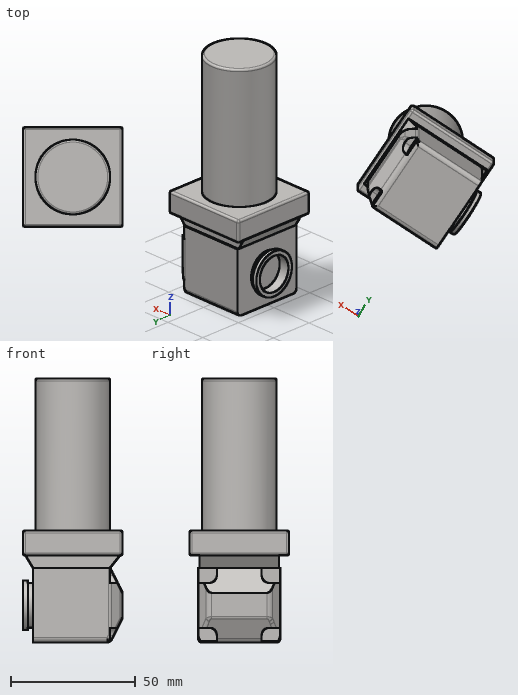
import math

import cadquery as cq

PLATE_SIDE = 40.0
PLATE_BOTTOM = 35.0
PLATE_TOP = 45.0
BARREL_DIAMETER = 30.0
BARREL_TOP = 106.0
EDGE_RADIUS = 1.0

HOUSING_BACK = -16.0
HOUSING_FRONT = 15.0
HOUSING_WIDTH = 33.0
HOUSING_TOP = 30.0
HOUSING_RADIUS = 2.0
FRONT_BOTTOM_RADIUS = 3.0

EDGE_SEARCH_RADIUS = 2.5

NECK_TOP_HALF_LENGTH = PLATE_SIDE / 2 - EDGE_RADIUS
NECK_WIDTH = 32.0

NOSE_TIP = PLATE_SIDE / 2
NOSE_TIP_WIDTH = 25.0
NOSE_SLOPE_HEIGHT = 10.0
TIP_RADIUS = 3.0
CROSS_ARM_WIDTH = 18.0
CROSS_RADIUS = 3.0

PORT_HEIGHT = HOUSING_TOP / 2
FLANGE_DIAMETER = 20.0
FLANGE_FACE = -PLATE_SIDE / 2
FLANGE_THICKNESS = 2.0
PORT_DIAMETER = 18.0
BORE_DIAMETER = 16.0
BORE_DEPTH = 5.0


def make_barrel():
    height = BARREL_TOP - PLATE_TOP
    barrel = cq.Workplane("XY", origin=(0, 0, PLATE_TOP)).circle(BARREL_DIAMETER / 2).extrude(height)
    return barrel.faces(">Z").edges().fillet(EDGE_RADIUS)


def make_plate():
    plate = cq.Workplane("XY", origin=(0, 0, PLATE_BOTTOM)).rect(PLATE_SIDE, PLATE_SIDE)
    return plate.extrude(PLATE_TOP - PLATE_BOTTOM).edges().fillet(EDGE_RADIUS)


def extrude_side_profile(points, width):
    """Extrude an XZ outline symmetrically about the Y = 0 plane."""
    return cq.Workplane("XZ").polyline(points).close().extrude(width / 2, both=True)


def make_neck():
    outline = [
        (HOUSING_BACK, HOUSING_TOP),
        (HOUSING_FRONT, HOUSING_TOP),
        (NECK_TOP_HALF_LENGTH, PLATE_BOTTOM),
        (-NECK_TOP_HALF_LENGTH, PLATE_BOTTOM),
    ]
    return extrude_side_profile(outline, NECK_WIDTH)


def edges_near(solid, *points):
    """Edges whose centres lie near the given points or their mirror images across Y = 0."""
    targets = [cq.Vector(x, side * y, z) for x, y, z in points for side in (1, -1)]
    return [
        edge
        for edge in solid.Edges()
        if any((edge.Center() - target).Length < EDGE_SEARCH_RADIUS for target in targets)
    ]


def make_nosed_block():
    """Housing and nose with the lower slope and the rounded side edges."""
    half_width = HOUSING_WIDTH / 2
    half_tip = NOSE_TIP_WIDTH / 2
    plan = [
        (HOUSING_BACK, -half_width),
        (HOUSING_FRONT, -half_width),
        (NOSE_TIP, -half_tip),
        (NOSE_TIP, half_tip),
        (HOUSING_FRONT, half_width),
        (HOUSING_BACK, half_width),
    ]
    block = cq.Workplane("XY").polyline(plan).close().extrude(HOUSING_TOP)
    lower_slope = [(HOUSING_FRONT, 0), (NOSE_TIP, 0), (NOSE_TIP, NOSE_SLOPE_HEIGHT)]
    block = block.cut(extrude_side_profile(lower_slope, 2 * HOUSING_WIDTH))

    middle_x = (HOUSING_BACK + HOUSING_FRONT) / 2
    side_bottom = (middle_x, half_width, 0)
    wall_start = (HOUSING_FRONT, half_width, HOUSING_TOP / 2)
    tip_side = (NOSE_TIP, half_tip, (HOUSING_TOP + NOSE_SLOPE_HEIGHT) / 2)
    slope_side = (
        (HOUSING_FRONT + NOSE_TIP) / 2,
        (half_width + half_tip) / 2,
        NOSE_SLOPE_HEIGHT / 2,
    )
    solid = block.val()
    solid = solid.fillet(HOUSING_RADIUS, edges_near(solid, side_bottom, wall_start))
    solid = solid.fillet(TIP_RADIUS, edges_near(solid, tip_side))
    solid = solid.fillet(HOUSING_RADIUS, edges_near(solid, slope_side))
    return cq.Workplane(solid)


def make_front_bottom_cut():
    """Sliver outside the round that joins the flat bottom to the lower slope of the nose."""
    slope_angle = math.atan2(NOSE_SLOPE_HEIGHT, NOSE_TIP - HOUSING_FRONT)
    tangent_length = FRONT_BOTTOM_RADIUS * math.tan(slope_angle / 2)
    round_start = HOUSING_FRONT - tangent_length
    slope_point = (
        HOUSING_FRONT + tangent_length * math.cos(slope_angle),
        tangent_length * math.sin(slope_angle),
    )
    round_middle = (
        round_start + FRONT_BOTTOM_RADIUS * math.sin(slope_angle / 2),
        FRONT_BOTTOM_RADIUS * (1 - math.cos(slope_angle / 2)),
    )
    outline = cq.Workplane("XZ").moveTo(round_start, 0).lineTo(HOUSING_FRONT, 0).lineTo(*slope_point)
    return outline.threePointArc(round_middle, (round_start, 0)).close().extrude(HOUSING_WIDTH, both=True)


def make_upper_slope_cut():
    points = [
        (HOUSING_FRONT, HOUSING_TOP),
        (NOSE_TIP, HOUSING_TOP),
        (NOSE_TIP, HOUSING_TOP - NOSE_SLOPE_HEIGHT),
    ]
    return extrude_side_profile(points, HOUSING_WIDTH)


def make_nose_cross_cut():
    """Tool for four corner pockets that leave a cross with rounded inner corners on the nose."""
    depth = NOSE_TIP - HOUSING_FRONT
    outer = 2 * HOUSING_WIDTH
    plane = cq.Workplane("YZ", origin=(HOUSING_FRONT, 0, HOUSING_TOP / 2))
    level_arm = plane.rect(outer, CROSS_ARM_WIDTH).extrude(depth)
    upright_arm = plane.rect(CROSS_ARM_WIDTH, outer).extrude(depth)
    cross = level_arm.union(upright_arm)
    reach = CROSS_ARM_WIDTH / 2 + EDGE_SEARCH_RADIUS
    inner_box = cq.selectors.BoxSelector(
        (HOUSING_FRONT, -reach, HOUSING_TOP / 2 - reach),
        (NOSE_TIP, reach, HOUSING_TOP / 2 + reach),
    )
    cross = cross.edges("|X").edges(inner_box).fillet(CROSS_RADIUS)
    return plane.rect(outer, outer).extrude(depth).cut(cross)


def make_housing():
    housing = make_nosed_block().cut(make_front_bottom_cut())
    return housing.cut(make_upper_slope_cut()).cut(make_nose_cross_cut())


def port_cylinder(start_x, diameter, length):
    return cq.Workplane("YZ", origin=(start_x, 0, PORT_HEIGHT)).circle(diameter / 2).extrude(length)


def make_port():
    port = port_cylinder(FLANGE_FACE, PORT_DIAMETER, HOUSING_BACK - FLANGE_FACE)
    return port.union(port_cylinder(FLANGE_FACE, FLANGE_DIAMETER, FLANGE_THICKNESS))


result = make_plate().union(make_barrel()).union(make_neck()).union(make_housing()).union(make_port())
result = result.cut(port_cylinder(FLANGE_FACE, BORE_DIAMETER, BORE_DEPTH))